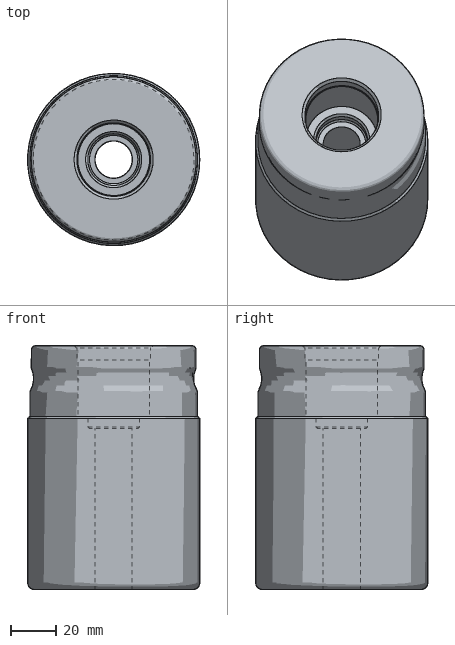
import cadquery as cq

HEIGHT = 107.9
SPLIT_Z = 76.6

BASE_RADIUS = 38.1
BASE_TOP_CHAMFER = 1.0
BASE_BOTTOM_FILLET = 3.0
RECESS_RADIUS = 11.4
RECESS_DEPTH = 5.4
RECESS_CHAMFER = 1.0
RECESS_FLOOR_BEVEL = 0.8
THROUGH_RADIUS = 8.2

COLLAR_RADIUS = 37.1
RIM_RADIUS = 36.5
RIM_TOP_FILLET = 2.0
BORE_RADIUS = 15.9
MOUTH_RADIUS = 16.3
MOUTH_DEPTH = 6.5
MOUTH_CHAMFER = 1.2

GROOVE_RADIUS = 35.5
GROOVE_BOTTOM_Z = 87.4
GROOVE_TOP_Z = 98.0
FLOOR_BOTTOM_Z = 91.2
FLOOR_TOP_Z = 95.1
GROOVE_CORNER_FILLET = 5.2
GROOVE_EDGE_FILLET = 1.9


def disc(radius, bottom, top):
    """Solid cylinder on the Z axis between two heights."""
    return cq.Workplane("XY").workplane(offset=bottom).circle(radius).extrude(top - bottom)


def make_base():
    """Heavy cylinder with a shallow recess and a through hole."""
    body = disc(BASE_RADIUS, 0, SPLIT_Z)
    body = body.faces(">Z").edges().chamfer(BASE_TOP_CHAMFER)
    body = body.faces("<Z").edges().fillet(BASE_BOTTOM_FILLET)
    recess = disc(RECESS_RADIUS, SPLIT_Z - RECESS_DEPTH, SPLIT_Z)
    recess = recess.faces("<Z").edges().chamfer(RECESS_FLOOR_BEVEL)
    body = body.cut(recess).cut(disc(THROUGH_RADIUS, 0, SPLIT_Z))
    recess_edge = cq.selectors.RadiusNthSelector(-2)
    return body.faces(">Z").edges(recess_edge).chamfer(RECESS_CHAMFER)


def make_head_blank():
    """Grooved ring blank, revolved from its half section."""
    blank = (
        cq.Workplane("XZ")
        .moveTo(0, SPLIT_Z)
        .lineTo(COLLAR_RADIUS, SPLIT_Z)
        .lineTo(COLLAR_RADIUS, GROOVE_BOTTOM_Z)
        .lineTo(GROOVE_RADIUS, FLOOR_BOTTOM_Z)
        .lineTo(GROOVE_RADIUS, FLOOR_TOP_Z)
        .lineTo(RIM_RADIUS, GROOVE_TOP_Z)
        .lineTo(RIM_RADIUS, HEIGHT)
        .lineTo(0, HEIGHT)
        .close()
        .revolve(360, (0, 0, 0), (0, 1, 0))
    )

    def edge_at(z):
        half = 0.1
        reach = 2 * COLLAR_RADIUS
        return cq.selectors.BoxSelector((-reach, -reach, z - half), (reach, reach, z + half))

    for z in (FLOOR_BOTTOM_Z, FLOOR_TOP_Z):
        blank = blank.edges("%CIRCLE").edges(edge_at(z)).fillet(GROOVE_CORNER_FILLET)
    for z in (GROOVE_BOTTOM_Z, GROOVE_TOP_Z):
        blank = blank.edges("%CIRCLE").edges(edge_at(z)).fillet(GROOVE_EDGE_FILLET)
    return blank.faces(">Z").edges().fillet(RIM_TOP_FILLET)


def make_head():
    """Grooved ring with a stepped, chamfered bore."""
    head = make_head_blank()
    head = head.cut(disc(BORE_RADIUS, SPLIT_Z, HEIGHT))
    head = head.cut(disc(MOUTH_RADIUS, HEIGHT - MOUTH_DEPTH, HEIGHT))
    mouth_edge = cq.selectors.RadiusNthSelector(0)
    return head.faces(">Z").edges(mouth_edge).chamfer(MOUTH_CHAMFER)


base = make_base()
head = make_head()

result = cq.Compound.makeCompound([base.val(), head.val()])